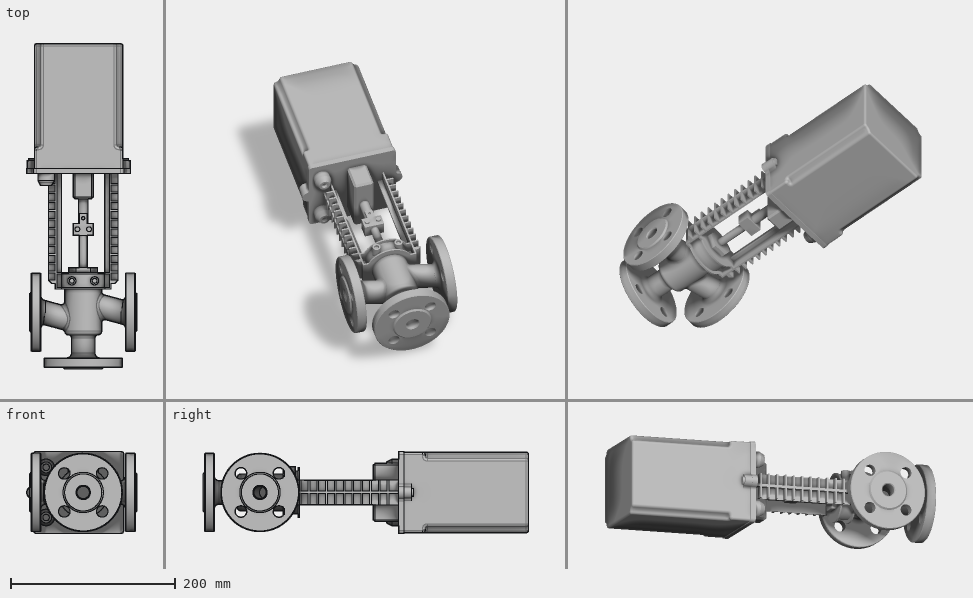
import cadquery as cq
import math

OVERALL_LENGTH = 395.0

FLANGE_DIA = 95.0
FLANGE_THICKNESS = 14.0
RAISED_FACE_DIA = 45.0
RAISED_FACE_HEIGHT = 2.0
RIM_CHAMFER = 0.8
PIPE_DIA = 29.0
NECK_FILLET = 5.5
BORE_DIA = 15.0
BORE_CHAMFER = 1.0
SIDE_BORE_SLOPE_DEPTH = 25.5
BOTTOM_BORE_DEPTH = 59.2
BOLT_HOLE_DIA = 14.0
BOLT_CIRCLE_DIA = 65.0
SIDE_FACE_X = 65.0
SIDE_FLANGE_Y = 69.0
PIPE_TILT = 15.0
PIPE_BEND = 16.5
PIPE_BODY_FILLET = 4.0
BODY_DIA = 45.0
BODY_BOTTOM_Y = 41.5
BODY_NECK_FILLET = 3.35
NUT_CORNER_DIA = 35.0
NUT_HEIGHT = 6.0

YOKE_BOTTOM_Y = 97.0
YOKE_RING_HEIGHT = 20.0
YOKE_RING_DIA = 52.0
YOKE_RIM_DIA = 61.0
YOKE_RIM_THICKNESS = 2.0
YOKE_BORE_DIA = 40.0
WEB_OUTER_X = 34.0
WEB_THICKNESS = 2.0
WEB_WIDTH = 30.0
INNER_RIB_DEPTH = 6.0
RIB_THICKNESS = 3.0
FIN_OUTER_X = 42.3
FIN_THICKNESS = 2.0
FIN_PITCH = 10.5
FIN_COUNT = 12
LOWEST_FIN_Y = 104.0
LOWEST_FIN_THICKNESS = 4.5
FIN_END_CHAMFER = 4.0
CLAMP_SCREW_X = 14.0
CLAMP_SCREW_DIA = 10.0
CLAMP_SCREW_TOP_Z = 31.2
CLAMP_SOCKET_DIA = 6.0
CLAMP_SOCKET_DEPTH = 3.0

STEM_DIA = 10.0
SPINDLE_DIA = 12.0
STEM_TOP_Y = 170.0
COUPLING_BOTTOM_Y = 162.5
COUPLING_LENGTH = 14.5
COUPLING_WIDTH = 24.5
COUPLING_THICKNESS = 15.8
TAB_WIDTH = 9.5
TAB_LENGTH = 12.0
TAB_BACK_Z = 3.5
TAB_HOLE_DIA = 4.0
TAB_HOLE_Y = 183.3
COUPLING_SCREW_DIA = 6.0
COUPLING_SCREW_HEIGHT = 2.5
COUPLING_SCREW_X = 7.0

ACTUATOR_X = -5.5
PLATE_BOTTOM_Y = 237.5
PLATE_THICKNESS = 6.5
PLATE_WIDTH = 110.0
PLATE_HEIGHT = 100.0
PLATE_CORNER_RADIUS = 4.0
EAR_RADIUS = 7.5
EAR_REACH = 63.2
EAR_FILLET = 3.0
BLOCK_WIDTH = 24.5
BLOCK_HEIGHT = 71.0
BLOCK_LENGTH = 31.0
BLOCK_CHAMFER = 2.5
GLAND_X = -45.0
GLAND_Z = 30.5
GLAND_DIA = 20.0
GLAND_SHOULDER_DIA = 17.8
GLAND_TIP_DIA = 13.5
GLAND_CYLINDER_LENGTH = 8.3
GLAND_SHOULDER_LENGTH = 10.5
GLAND_LENGTH = 14.5
GLAND_HOLE_DIA = 8.0
GLAND_HOLE_DEPTH = 4.0
HOOD_WIDTH = 107.5
HOOD_HEIGHT = 98.0
HOOD_EDGE_RADIUS = 2.8
GROOVE_RADIUS = 8.0
GROOVE_LIP_RADIUS = 3.5
GROOVE_END_Y = 269.8
GROOVE_END_FILLET = 2.5
BOSS_DIA = 14.0
BOSS_HEIGHT = 9.5
BOSS_TIP_DIA = 10.0
BOSS_TIP_HEIGHT = 2.5
BOSS_FILLET = 3.0

YOKE_TOP_Y = YOKE_BOTTOM_Y + YOKE_RING_HEIGHT
COUPLING_TOP_Y = COUPLING_BOTTOM_Y + COUPLING_LENGTH
PLATE_TOP_Y = PLATE_BOTTOM_Y + PLATE_THICKNESS
EAR_OFFSET = EAR_REACH - EAR_RADIUS
TILT = math.radians(PIPE_TILT)
PIPE_SLOPE = (math.cos(TILT), -math.sin(TILT), 0)
PIPE_BEND_POINT = (PIPE_BEND - SIDE_FACE_X, SIDE_FLANGE_Y, 0)

MARGIN = 0.5


def rod(diameter, length, start, direction=(0, 1, 0)):
    """Solid cylinder that starts at a point and runs along a direction."""
    return cq.Workplane(obj=cq.Solid.makeCylinder(
        diameter / 2, length, cq.Vector(*start), cq.Vector(*direction)))


def block(x_range, y_range, z_range):
    """Box between two limits on each axis."""
    limits = (x_range, y_range, z_range)
    sizes = [high - low for low, high in limits]
    lows = [low for low, high in limits]
    return cq.Workplane("XY").box(*sizes, centered=False).translate(tuple(lows))


def slice_across_y(low, high):
    """Selects what has its centre between two heights along Y."""
    reach = OVERALL_LENGTH
    return cq.selectors.BoxSelector((-reach, low, -reach), (reach, high, reach))


def revolve_about_y(profile):
    """Closes a half outline in the XY plane and turns it about the Y axis."""
    return profile.close().revolve(360, (0, 0, 0), (0, 1, 0))


def make_flange():
    """Flange with its face at Y = 0, and the start of its pipe toward +Y."""
    rim = FLANGE_DIA / 2
    pipe = PIPE_DIA / 2
    raised = RAISED_FACE_DIA / 2
    neck_end = FLANGE_THICKNESS + NECK_FILLET
    neck_middle = NECK_FILLET * (1 - math.sqrt(0.5))
    flange = revolve_about_y(
        cq.Workplane("XY")
        .lineTo(raised, 0)
        .lineTo(raised + RAISED_FACE_HEIGHT, RAISED_FACE_HEIGHT)
        .lineTo(rim - RIM_CHAMFER, RAISED_FACE_HEIGHT)
        .lineTo(rim, RAISED_FACE_HEIGHT + RIM_CHAMFER)
        .lineTo(rim, FLANGE_THICKNESS - RIM_CHAMFER)
        .lineTo(rim - RIM_CHAMFER, FLANGE_THICKNESS)
        .lineTo(pipe + NECK_FILLET, FLANGE_THICKNESS)
        .threePointArc((pipe + neck_middle, FLANGE_THICKNESS + neck_middle), (pipe, neck_end))
        .lineTo(0, neck_end)
    )
    for angle in range(45, 360, 90):
        x = BOLT_CIRCLE_DIA / 2 * math.cos(math.radians(angle))
        z = BOLT_CIRCLE_DIA / 2 * math.sin(math.radians(angle))
        flange = flange.cut(rod(BOLT_HOLE_DIA, FLANGE_THICKNESS, (x, 0, z)))
    return flange


def make_bore(depth):
    """Shape of a straight port bore from Y = 0 toward +Y, widened at its mouth."""
    radius = BORE_DIA / 2
    return revolve_about_y(
        cq.Workplane("XY")
        .lineTo(radius + BORE_CHAMFER, 0)
        .lineTo(radius, BORE_CHAMFER)
        .lineTo(radius, depth)
        .lineTo(0, depth)
    )


def place_on_left(part):
    """Moves a part made from Y = 0 toward +Y to the left port, facing inward."""
    return part.rotate((0, 0, 0), (0, 0, 1), -90).translate((-SIDE_FACE_X, SIDE_FLANGE_Y, 0))


def both_sides(left_part):
    """A part of the left branch, and its copy turned half round for the right branch."""
    centre = (0, SIDE_FLANGE_Y, 0)
    return [left_part, left_part.rotate(centre, (0, SIDE_FLANGE_Y, 1), 180)]


def make_valve_body():
    """Turned body with the bottom pipe and the two inclined side pipes."""
    pipe = PIPE_DIA / 2
    radius = BODY_DIA / 2
    fillet = BODY_NECK_FILLET
    edge = radius - pipe - fillet
    diagonal = math.sqrt(0.5)
    body = revolve_about_y(
        cq.Workplane("XY")
        .moveTo(0, FLANGE_THICKNESS)
        .lineTo(pipe, FLANGE_THICKNESS)
        .lineTo(pipe, BODY_BOTTOM_Y - fillet)
        .threePointArc(
            (pipe + fillet * (1 - diagonal), BODY_BOTTOM_Y - fillet * (1 - diagonal)),
            (pipe + fillet, BODY_BOTTOM_Y))
        .threePointArc(
            (radius - edge * (1 - diagonal), BODY_BOTTOM_Y + edge * (1 - diagonal)),
            (radius, BODY_BOTTOM_Y + edge))
        .lineTo(radius, YOKE_BOTTOM_Y)
        .lineTo(0, YOKE_BOTTOM_Y)
    )

    run = (SIDE_FACE_X - PIPE_BEND) / math.cos(TILT)
    for branch in both_sides(rod(PIPE_DIA, run, PIPE_BEND_POINT, PIPE_SLOPE)):
        body = body.union(branch)
    for side in (-1, 1):
        joint = cq.selectors.BoxSelector(
            (side * radius / 2, BODY_BOTTOM_Y + edge + MARGIN, -radius),
            (side * (radius + MARGIN), YOKE_BOTTOM_Y - MARGIN, radius))
        body = body.edges(joint).edges("not %LINE").fillet(PIPE_BODY_FILLET)

    return body


def make_valve():
    side_flange = place_on_left(make_flange())
    elbow = cq.Workplane("XY").sphere(PIPE_DIA / 2).translate(PIPE_BEND_POINT)
    valve = make_valve_body().union(make_flange())
    for part in both_sides(side_flange) + both_sides(elbow):
        valve = valve.union(part)

    neck = rod(YOKE_BORE_DIA, YOKE_RING_HEIGHT, (0, YOKE_BOTTOM_Y, 0))
    nut = cq.Workplane("XZ", origin=(0, YOKE_TOP_Y, 0)).polygon(6, NUT_CORNER_DIA).extrude(-NUT_HEIGHT)
    valve = valve.union(neck).union(nut)

    inlet = place_on_left(make_bore(PIPE_BEND))
    incline = rod(BORE_DIA, SIDE_BORE_SLOPE_DEPTH, PIPE_BEND_POINT, PIPE_SLOPE)
    bore_bend = cq.Workplane("XY").sphere(BORE_DIA / 2).translate(PIPE_BEND_POINT)
    for bore in both_sides(inlet) + both_sides(bore_bend) + both_sides(incline):
        valve = valve.cut(bore)
    valve = valve.cut(make_bore(BOTTOM_BORE_DEPTH))
    return valve.cut(rod(STEM_DIA, YOKE_RING_HEIGHT + NUT_HEIGHT, (0, YOKE_BOTTOM_Y, 0)))


def make_yoke_leg():
    """Right leg: web, inner rib, outer rib and a row of cooling fins."""
    web_inner = WEB_OUTER_X - WEB_THICKNESS
    half_rib = RIB_THICKNESS / 2
    half_web = WEB_WIDTH / 2
    leg_range = (YOKE_BOTTOM_Y, PLATE_BOTTOM_Y)
    leg = block((web_inner, WEB_OUTER_X), leg_range, (-half_web, half_web))
    leg = leg.union(block((web_inner - INNER_RIB_DEPTH, web_inner), leg_range, (-half_rib, half_rib)))
    fins = block((WEB_OUTER_X, FIN_OUTER_X), (LOWEST_FIN_Y, PLATE_BOTTOM_Y), (-half_rib, half_rib))
    for index in range(FIN_COUNT):
        high = LOWEST_FIN_Y + LOWEST_FIN_THICKNESS + index * FIN_PITCH
        thickness = LOWEST_FIN_THICKNESS if index == 0 else FIN_THICKNESS
        fins = fins.union(block((WEB_OUTER_X, FIN_OUTER_X), (high - thickness, high), (-half_web, half_web)))
    fins = fins.faces("<Y").edges(">X").chamfer(FIN_END_CHAMFER)
    return leg.union(fins)


def make_yoke():
    yoke = rod(YOKE_RING_DIA, YOKE_RING_HEIGHT, (0, YOKE_BOTTOM_Y, 0))
    for rim_y in (YOKE_BOTTOM_Y, YOKE_TOP_Y - YOKE_RIM_THICKNESS):
        yoke = yoke.union(rod(YOKE_RIM_DIA, YOKE_RIM_THICKNESS, (0, rim_y, 0)))
        yoke = yoke.union(block((-WEB_OUTER_X, WEB_OUTER_X), (rim_y, rim_y + YOKE_RIM_THICKNESS),
                                (-WEB_WIDTH / 2, WEB_WIDTH / 2)))
    leg = make_yoke_leg()
    yoke = yoke.union(leg).union(leg.mirror("YZ"))
    screw_y = YOKE_BOTTOM_Y + YOKE_RING_HEIGHT / 2
    for x in (-CLAMP_SCREW_X, CLAMP_SCREW_X):
        yoke = yoke.union(rod(CLAMP_SCREW_DIA, CLAMP_SCREW_TOP_Z, (x, screw_y, 0), (0, 0, 1)))
        screw_top = (x, screw_y, CLAMP_SCREW_TOP_Z)
        yoke = yoke.cut(rod(CLAMP_SOCKET_DIA, CLAMP_SOCKET_DEPTH, screw_top, (0, 0, -1)))
    return yoke.cut(rod(YOKE_BORE_DIA, YOKE_RING_HEIGHT, (0, YOKE_BOTTOM_Y, 0)))


def make_stem():
    return rod(STEM_DIA, STEM_TOP_Y - YOKE_BOTTOM_Y, (0, YOKE_BOTTOM_Y, 0))


def make_coupling():
    front_z = COUPLING_THICKNESS / 2
    coupling = block((-COUPLING_WIDTH / 2, COUPLING_WIDTH / 2),
                     (COUPLING_BOTTOM_Y, COUPLING_TOP_Y), (-front_z, front_z))
    tab = block((-TAB_WIDTH / 2, TAB_WIDTH / 2),
                (COUPLING_TOP_Y, COUPLING_TOP_Y + TAB_LENGTH), (TAB_BACK_Z, front_z))
    tab = tab.cut(rod(TAB_HOLE_DIA, front_z, (0, TAB_HOLE_Y, 0), (0, 0, 1)))
    coupling = coupling.union(tab)
    for x in (-COUPLING_SCREW_X, COUPLING_SCREW_X):
        coupling = coupling.union(
            rod(COUPLING_SCREW_DIA, COUPLING_SCREW_HEIGHT, (x, STEM_TOP_Y, front_z), (0, 0, 1)))
    coupling = coupling.cut(rod(STEM_DIA, COUPLING_LENGTH, (0, COUPLING_BOTTOM_Y, 0)))
    return coupling.cut(rod(SPINDLE_DIA, COUPLING_LENGTH + TAB_LENGTH, (0, STEM_TOP_Y, 0)))


def make_gland():
    """Cable gland that points toward -Y from the base plate."""
    radius = GLAND_DIA / 2
    gland = revolve_about_y(
        cq.Workplane("XY")
        .lineTo(radius, 0)
        .lineTo(radius, -GLAND_CYLINDER_LENGTH)
        .lineTo(GLAND_SHOULDER_DIA / 2, -GLAND_SHOULDER_LENGTH)
        .lineTo(GLAND_TIP_DIA / 2, -GLAND_LENGTH)
        .lineTo(0, -GLAND_LENGTH)
    )
    return gland.cut(rod(GLAND_HOLE_DIA, GLAND_HOLE_DEPTH, (0, -GLAND_LENGTH, 0)))


def make_base():
    plate = cq.Workplane("XY").box(PLATE_WIDTH, PLATE_THICKNESS, PLATE_HEIGHT)
    plate = plate.edges("|Y").fillet(PLATE_CORNER_RADIUS)
    for side in (-1, 1):
        ear_x = side * EAR_OFFSET
        ear = rod(2 * EAR_RADIUS, PLATE_THICKNESS, (ear_x, -PLATE_THICKNESS / 2, 0))
        plate = plate.union(ear)
        wall = side * PLATE_WIDTH / 2
        corner = cq.selectors.BoxSelector(
            (wall - MARGIN, -PLATE_THICKNESS, -EAR_RADIUS - MARGIN),
            (wall + MARGIN, PLATE_THICKNESS, EAR_RADIUS + MARGIN))
        plate = plate.edges("|Y").edges(corner).fillet(EAR_FILLET)
    base = plate.translate((ACTUATOR_X, PLATE_BOTTOM_Y + PLATE_THICKNESS / 2, 0))

    block_end = PLATE_BOTTOM_Y - BLOCK_LENGTH
    gear_block = block((-BLOCK_WIDTH / 2, BLOCK_WIDTH / 2), (block_end, PLATE_BOTTOM_Y),
                       (-BLOCK_HEIGHT / 2, BLOCK_HEIGHT / 2))
    gear_block = gear_block.edges("|Y or <Y").chamfer(BLOCK_CHAMFER)
    base = base.union(gear_block)
    base = base.union(rod(SPINDLE_DIA, PLATE_BOTTOM_Y - STEM_TOP_Y, (0, STEM_TOP_Y, 0)))

    for z in (-GLAND_Z, GLAND_Z):
        base = base.union(make_gland().translate((GLAND_X, PLATE_BOTTOM_Y, z)))
    return base


def make_hood():
    half_width = HOOD_WIDTH / 2
    half_height = HOOD_HEIGHT / 2
    hood = block((-half_width, half_width), (PLATE_TOP_Y, OVERALL_LENGTH), (-half_height, half_height))

    for x in (-half_width, half_width):
        for z in (-half_height, half_height):
            groove = rod(2 * GROOVE_RADIUS, OVERALL_LENGTH - GROOVE_END_Y, (x, GROOVE_END_Y, z))
            hood = hood.cut(groove)
    end_wall = slice_across_y(GROOVE_END_Y - MARGIN, GROOVE_END_Y + MARGIN)
    hood = hood.edges("%CIRCLE").edges(end_wall).fillet(GROOVE_END_FILLET)
    groove_stretch = slice_across_y(GROOVE_END_Y - MARGIN, OVERALL_LENGTH - MARGIN)
    hood = hood.faces("<X or >X or <Z or >Z").edges(groove_stretch).fillet(GROOVE_LIP_RADIUS)

    below_grooves = slice_across_y(PLATE_TOP_Y, GROOVE_END_Y - GROOVE_LIP_RADIUS)
    hood = hood.edges("|Y").edges(below_grooves).fillet(HOOD_EDGE_RADIUS)
    hood = hood.faces(">Y").edges().fillet(HOOD_EDGE_RADIUS)

    for side in (-1, 1):
        x = side * EAR_OFFSET
        hood = hood.union(rod(BOSS_DIA, BOSS_HEIGHT, (x, PLATE_TOP_Y, 0)))
        wall = side * half_width
        corner = cq.selectors.BoxSelector(
            (wall - MARGIN, PLATE_TOP_Y, -BOSS_DIA), (wall + MARGIN, PLATE_TOP_Y + BOSS_HEIGHT, BOSS_DIA))
        hood = hood.edges("|Y").edges(corner).fillet(BOSS_FILLET)
        hood = hood.union(rod(BOSS_TIP_DIA, BOSS_HEIGHT + BOSS_TIP_HEIGHT, (x, PLATE_TOP_Y, 0)))
    return hood.translate((ACTUATOR_X, 0, 0))


valve = make_valve()
yoke = make_yoke()
stem = make_stem()
coupling = make_coupling()
base = make_base()
hood = make_hood()

result = cq.Compound.makeCompound([
    valve.val(), yoke.val(), stem.val(), coupling.val(), base.val(), hood.val(),
])